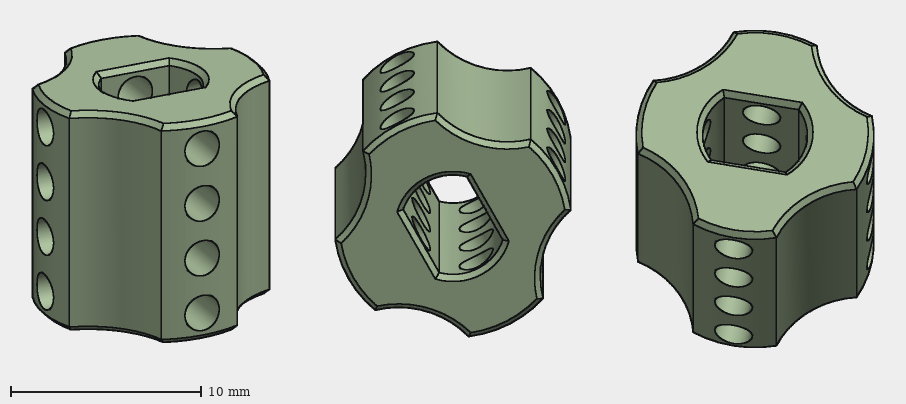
import cadquery as cq
import math

body_diameter = 12.5
body_height = 12.5
body_radius = body_diameter / 2
edge_chamfer = 0.3

grip_count = 4
grip_start_angle = 45
grip_radius = 5.0
lobe_half_width = 2.22

bore_diameter = 5.5
bore_flat_width = 3.8

hole_diameter = 2.0
holes_per_row = 4
hole_pitch = body_height / holes_per_row

lobe_reach = math.sqrt(body_radius**2 - lobe_half_width**2)
grip_half_chord = (lobe_reach - lobe_half_width) / math.sqrt(2)
grip_chord_distance = (lobe_reach + lobe_half_width) / math.sqrt(2)
grip_center_distance = grip_chord_distance + math.sqrt(grip_radius**2 - grip_half_chord**2)


def make_body():
    """Cylinder with four scalloped grips."""
    body = cq.Workplane("XY").circle(body_radius).extrude(body_height)
    grips = (
        cq.Workplane("XY")
        .polarArray(grip_center_distance, grip_start_angle, 360, grip_count)
        .circle(grip_radius)
        .extrude(body_height)
    )
    return body.cut(grips)


def make_bore():
    """Round bore trimmed by two flats."""
    cylinder = cq.Workplane("XY").circle(bore_diameter / 2).extrude(body_height)
    flats = cq.Workplane("XY").rect(bore_flat_width, bore_diameter).extrude(body_height)
    return cylinder.intersect(flats)


def make_hole_row(plane):
    """Row of holes stacked along Z, crossing the whole body normal to the plane."""
    centers = [(0, (i + 0.5) * hole_pitch) for i in range(holes_per_row)]
    return (
        cq.Workplane(plane)
        .pushPoints(centers)
        .circle(hole_diameter / 2)
        .extrude(body_radius, both=True)
    )


result = make_body().cut(make_bore())
result = result.faces("<Z or >Z").chamfer(edge_chamfer)

for plane in ("XZ", "YZ"):
    result = result.cut(make_hole_row(plane))